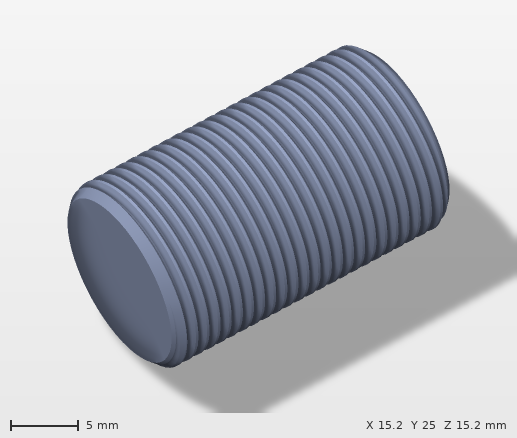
import cadquery as cq
import math

major_diameter = 15.15
length = 25.0
end_chamfer = 0.8

pitch = 1.0
crest_flat = 0.22
root_flat = pitch / 8
flank_angle = math.radians(30)
stock_allowance = pitch / 4
run_out_turns = 2

major_radius = major_diameter / 2
groove_depth = (pitch - crest_flat - root_flat) / 2 / math.tan(flank_angle)
root_radius = major_radius - groove_depth
cutter_overshoot = 0.1


def make_stock():
    """Plain cylinder that is longer than the stud at both ends."""
    stock_length = length + 2 * stock_allowance
    return cq.Workplane("XY").workplane(offset=-stock_allowance).circle(major_radius).extrude(stock_length)


def make_chamfered_rod():
    """Unthreaded envelope of the stud, standing on Z = 0."""
    return cq.Workplane("XY").circle(major_radius).extrude(length).edges().chamfer(end_chamfer)


def make_groove():
    """Helical trapezoid that runs out past both ends of the blank."""
    start_height = -run_out_turns * pitch
    helix_height = length + 2 * run_out_turns * pitch
    outer_radius = major_radius + cutter_overshoot
    root_half_width = root_flat / 2
    outer_half_width = root_half_width + (outer_radius - root_radius) * math.tan(flank_angle)
    corners = [
        (root_radius, -root_half_width),
        (outer_radius, -outer_half_width),
        (outer_radius, outer_half_width),
        (root_radius, root_half_width),
    ]

    def end_face(height):
        points = [cq.Vector(radius, 0, height + offset) for radius, offset in corners]
        return cq.Face.makeFromWires(cq.Wire.makePolygon(points, close=True))

    helices = []
    for radius, offset in corners:
        helix = cq.Wire.makeHelix(pitch, helix_height, radius)
        helices.append(helix.translate(cq.Vector(0, 0, start_height + offset)))

    faces = [end_face(start_height), end_face(start_height + helix_height)]
    for index, helix in enumerate(helices):
        next_helix = helices[(index + 1) % len(helices)]
        faces.append(cq.Face.makeRuledSurface(helix, next_helix))
    return cq.Workplane(obj=cq.Solid.makeSolid(cq.Shell.makeShell(faces)))


def lay_along_y(body):
    """Centre the stud and turn its axis from Z to Y, so the groove meets the -Y end at the top."""
    centred = body.translate((0, 0, -length / 2))
    groove_start_turned = centred.rotate((0, 0, 0), (0, 0, 1), -90)
    return groove_start_turned.rotate((0, 0, 0), (1, 0, 0), -90)


threaded_stock = make_stock().cut(make_groove())
result = lay_along_y(threaded_stock.intersect(make_chamfered_rod()))